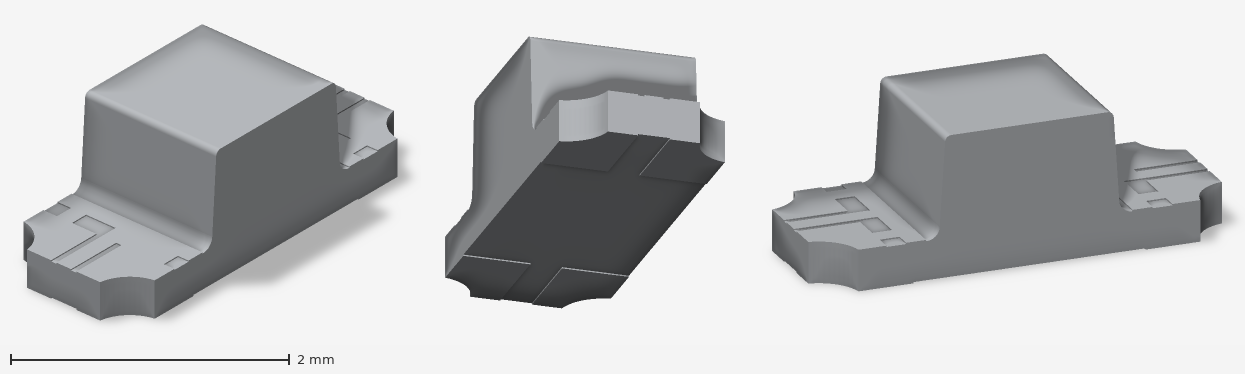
import cadquery as cq
import math

CORNERS = [(-1, -1), (1, -1), (-1, 1), (1, 1)]
MASKED_CORNER = (1, -1)

WIDTH = 1.25
LENGTH = 3.2
HEIGHT = 1.1
HALF_WIDTH = WIDTH / 2
HALF_LENGTH = LENGTH / 2

BOARD_THICKNESS = 0.3
PLATING = 0.01
BOARD_BOTTOM = PLATING
BOARD_TOP = BOARD_BOTTOM + BOARD_THICKNESS
PLATED_HEIGHT = BOARD_TOP + PLATING

NOTCH_OFFSET = 0.05
PLATED_NOTCH_RADIUS = 0.333
NOTCH_PLATING = 0.0145
BOARD_NOTCH_RADIUS = PLATED_NOTCH_RADIUS + NOTCH_PLATING

PAD_GAP_HALF = 0.12
TOP_PAD_LENGTH = 0.493
BOTTOM_PAD_LENGTH = 0.7
TAB_REACH = 0.645
TAB_END = HALF_LENGTH - TAB_REACH
LEFT_TAB = (-0.495, -0.352)
RIGHT_TAB = (0.37, 0.525)

MASK_STEM_HALF = 0.07
MASK_START = 0.8

LENS_FOOT_HALF = 0.7
LENS_TOP_HALF = 0.65
LENS_TOP_RADIUS = 0.048
LENS_FOOT_FILLET = 0.1


def block(x_range, y_range, z_range):
    """Box between two limits along each axis, given in either order."""
    (x0, x1), (y0, y1), (z0, z1) = sorted(x_range), sorted(y_range), sorted(z_range)
    return cq.Workplane("XY").box(x1 - x0, y1 - y0, z1 - z0, centered=False).translate((x0, y0, z0))


def notch_cylinder(x_sign, y_sign, radius):
    """Full-height cylinder around the notch centre of one corner."""
    center = (x_sign * (HALF_WIDTH + NOTCH_OFFSET), y_sign * (HALF_LENGTH + NOTCH_OFFSET))
    return cq.Workplane("XY").center(*center).circle(radius).extrude(PLATED_HEIGHT)


def make_board():
    board = block((-HALF_WIDTH, HALF_WIDTH), (-HALF_LENGTH, HALF_LENGTH), (BOARD_BOTTOM, BOARD_TOP))
    for x_sign, y_sign in CORNERS:
        board = board.cut(notch_cylinder(x_sign, y_sign, BOARD_NOTCH_RADIUS))
    return board.solids()


def make_terminal(x_sign, y_sign):
    """Corner terminal; its tab reaches the mask except where the mask covers that place."""
    pad_x = (x_sign * PAD_GAP_HALF, x_sign * HALF_WIDTH)
    top_z = (BOARD_TOP, PLATED_HEIGHT)
    end_y = y_sign * HALF_LENGTH
    top_pad_y = y_sign * (HALF_LENGTH - TOP_PAD_LENGTH)
    bottom_pad_y = y_sign * (HALF_LENGTH - BOTTOM_PAD_LENGTH)

    corner = block((0, x_sign * HALF_WIDTH), (0, end_y), (0, PLATED_HEIGHT))
    terminal = notch_cylinder(x_sign, y_sign, BOARD_NOTCH_RADIUS).intersect(corner)
    terminal = terminal.union(block(pad_x, (top_pad_y, end_y), top_z))
    terminal = terminal.union(block(pad_x, (bottom_pad_y, end_y), (0, BOARD_BOTTOM)))

    if (x_sign, y_sign) != MASKED_CORNER:
        tab_x = LEFT_TAB if x_sign < 0 else RIGHT_TAB
        terminal = terminal.union(block(tab_x, (y_sign * TAB_END, top_pad_y), top_z))

    return terminal.cut(notch_cylinder(x_sign, y_sign, PLATED_NOTCH_RADIUS)).solids()


def make_mask(y_sign):
    """T of solder mask; one end also covers the board up to the pad of the masked corner."""
    mask_z = (BOARD_TOP, PLATED_HEIGHT)
    bar_end = y_sign * TAB_END
    bar = block((-HALF_WIDTH, HALF_WIDTH), (y_sign * MASK_START, bar_end), mask_z)
    stem = block((-MASK_STEM_HALF, MASK_STEM_HALF), (bar_end, y_sign * HALF_LENGTH), mask_z)
    mask = bar.union(stem)
    if y_sign == MASKED_CORNER[1]:
        pad_edge = y_sign * (HALF_LENGTH - TOP_PAD_LENGTH)
        mask = mask.union(block((-MASK_STEM_HALF, RIGHT_TAB[1]), (bar_end, pad_edge), mask_z))
    return mask.solids()


def make_lens():
    """Extruded profile whose foot fillets flare out onto the board."""
    lean = math.atan2(LENS_FOOT_HALF - LENS_TOP_HALF, HEIGHT - BOARD_TOP)
    run_out = LENS_FOOT_FILLET * math.tan((math.pi / 2 - lean) / 2)
    foot_end = LENS_FOOT_HALF + run_out
    fillet_top_y = LENS_FOOT_HALF - run_out * math.sin(lean)
    fillet_top_z = BOARD_TOP + run_out * math.cos(lean)
    fillet_center_z = BOARD_TOP + LENS_FOOT_FILLET
    middle_angle = (math.pi / 2 + lean) / 2
    middle_y = foot_end - LENS_FOOT_FILLET * math.cos(middle_angle)
    middle_z = fillet_center_z - LENS_FOOT_FILLET * math.sin(middle_angle)

    profile = (
        cq.Workplane("YZ", origin=(-HALF_WIDTH, 0, 0))
        .moveTo(-foot_end, BOARD_TOP)
        .lineTo(foot_end, BOARD_TOP)
        .threePointArc((middle_y, middle_z), (fillet_top_y, fillet_top_z))
        .lineTo(LENS_TOP_HALF, HEIGHT)
        .lineTo(-LENS_TOP_HALF, HEIGHT)
        .lineTo(-fillet_top_y, fillet_top_z)
        .threePointArc((-middle_y, middle_z), (-foot_end, BOARD_TOP))
        .close()
    )
    return profile.extrude(WIDTH).edges("|X and >Z").fillet(LENS_TOP_RADIUS).solids()


board = make_board()
lens = make_lens()
terminals = [make_terminal(x_sign, y_sign) for x_sign, y_sign in CORNERS]
masks = [make_mask(y_sign) for y_sign in (-1, 1)]

result = cq.Compound.makeCompound(
    [
        board.val(),
        lens.val(),
        *[terminal.val() for terminal in terminals],
        *[mask.val() for mask in masks],
    ]
)